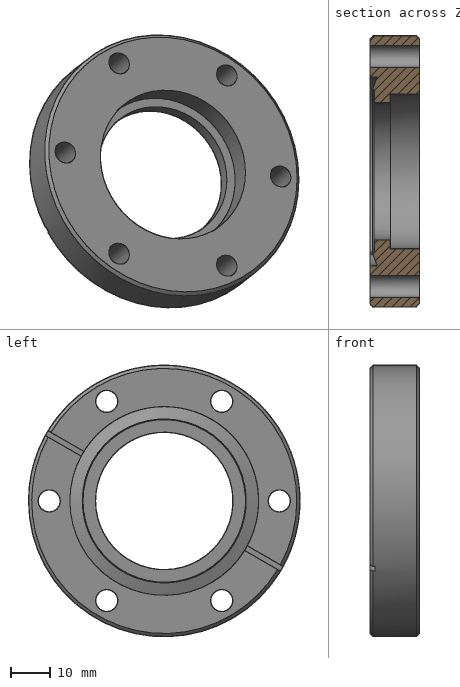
import cadquery as cq

thickness = 12.7
outer_diameter = 69.35
bore_diameter = 35.0
rim_chamfer = 0.8

socket_diameter = 39.5
socket_start = 5.2

recess_diameter = 48.2
recess_depth = 1.8
knife_diameter = 41.9
knife_depth = 0.6
floor_diameter = 41.45
floor_depth = 1.1

bolt_count = 6
bolt_circle_diameter = 58.7
bolt_hole_diameter = 5.55

groove_width = 1.4
groove_depth = 1.3
groove_angle = 30.0


def ring_body():
    """Revolve the half section, drawn as (x, radius), around the X axis."""
    outer_radius = outer_diameter / 2
    bore_radius = bore_diameter / 2
    section = [
        (floor_depth, bore_radius),
        (floor_depth, floor_diameter / 2),
        (knife_depth, knife_diameter / 2),
        (recess_depth, recess_diameter / 2),
        (0, recess_diameter / 2),
        (0, outer_radius - rim_chamfer),
        (rim_chamfer, outer_radius),
        (thickness - rim_chamfer, outer_radius),
        (thickness, outer_radius - rim_chamfer),
        (thickness, socket_diameter / 2),
        (socket_start, socket_diameter / 2),
        (socket_start, bore_radius),
    ]
    return cq.Workplane("XY").polyline(section).close().revolve(360, (0, 0), (1, 0))


def bolt_holes():
    """Through holes evenly spaced from the +Y axis."""
    return (
        cq.Workplane("YZ")
        .polarArray(bolt_circle_diameter / 2, 0, 360, bolt_count)
        .circle(bolt_hole_diameter / 2)
        .extrude(thickness)
    )


def leak_grooves():
    """One bar across the face, kept only outside the recess so the knife edge stays whole."""
    bar = (
        cq.Workplane("YZ")
        .rect(outer_diameter, groove_width)
        .extrude(groove_depth)
        .rotate((0, 0, 0), (1, 0, 0), groove_angle)
    )
    recess = cq.Workplane("YZ").circle(recess_diameter / 2).extrude(groove_depth)
    return bar.cut(recess)


result = ring_body().cut(bolt_holes()).cut(leak_grooves())